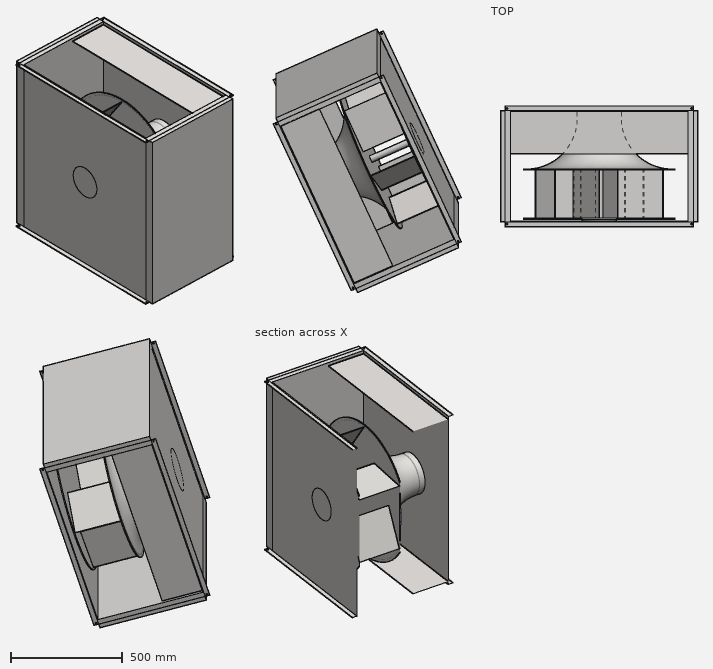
import cadquery as cq
import math

width = 880.0
height = 880.0
depth = 540.0
flange_reach = 22.0
flange_sheet = 3.5
skin = 20.0
side_frame = 24.0
panel_sheet = 3.5
seam_step = 1.0

body_half_depth = depth / 2 - flange_reach
core_width = width - 2 * skin
inner_width = core_width - 2 * side_frame

bolt_hole = 6.0
bolt_inset_x = 8.0
bolt_inset_y = 12.0

shelf_front = 55.0
shelf_drop = 15.0
shelf_sheet = 3.5

disc_radius = 339.0
disc_sheet = 5.0
shroud_front = -18.0
back_disc_front = -237.0
hub_radius = 77.0
shaft_radius = 16.0
throat_radius = 99.0
cone_curve = 227.0

blade_count = 6
blade_tip = (0.0, 328.0)
blade_root = (-115.0, 162.0)
blade_sheet = 3.5


def block(x_size, y_min, y_max, z_min, z_max, x_center=0.0):
    """Box given by its X size and center and its Y and Z limits."""
    size = (x_size, y_max - y_min, z_max - z_min)
    return cq.Workplane("XY").box(*size).translate(
        (x_center, (y_min + y_max) / 2, (z_min + z_max) / 2)
    )


def rod(radius, y_min, y_max):
    """Cylinder along the Y axis."""
    return cq.Workplane("XZ", origin=(0, y_min, 0)).circle(radius).extrude(y_min - y_max)


def make_casing():
    top = height / 2
    casing = block(core_width, -body_half_depth, body_half_depth, -top, top)
    for side in (-1, 1):
        skin_x = side * (width - skin) / 2
        skin_top = top - seam_step
        casing = casing.union(
            block(skin, -body_half_depth, body_half_depth, -skin_top, skin_top, skin_x)
        )
    inside = body_half_depth - panel_sheet
    return casing.cut(block(inner_width, -inside, inside, -top, top))


def make_flanges():
    top = height / 2
    hole_x = core_width - 2 * bolt_inset_x
    hole_y = depth - 2 * bolt_inset_y
    plate = (
        block(core_width, -depth / 2, depth / 2, top - flange_sheet, top)
        .faces(">Z")
        .workplane(origin=(0, 0, top))
        .rect(hole_x, hole_y, forConstruction=True)
        .vertices()
        .hole(bolt_hole)
    )
    opening = 2 * (body_half_depth - panel_sheet)
    plate = plate.cut(cq.Workplane("XY").box(inner_width, opening, 2 * height))
    return plate.union(plate.mirror("XY"))


def make_shelves():
    shelf_top = height / 2 - shelf_drop
    shelf = block(inner_width, shelf_front, body_half_depth, shelf_top - shelf_sheet, shelf_top)
    return shelf.union(shelf.mirror("XY"))


def make_inlet():
    """Shroud disc and trumpet-shaped inlet cone, closed by a flat face at the front."""
    shroud_back = shroud_front + disc_sheet
    cone_end = throat_radius + cone_curve
    curve_y = shroud_back + cone_curve
    bend = cone_curve * math.sqrt(0.5)
    return (
        cq.Workplane("XY")
        .moveTo(0, shroud_front)
        .lineTo(disc_radius, shroud_front)
        .lineTo(disc_radius, shroud_back)
        .lineTo(cone_end, shroud_back)
        .threePointArc((cone_end - bend, curve_y - bend), (throat_radius, curve_y))
        .lineTo(throat_radius, body_half_depth)
        .lineTo(0, body_half_depth)
        .close()
        .revolve(360, (0, 0, 0), (0, 1, 0))
    )


def make_blades():
    """Flat blades set obliquely between the back disc and the shroud."""
    y_min = back_disc_front
    y_max = shroud_front + disc_sheet / 2
    run_x = blade_root[0] - blade_tip[0]
    run_z = blade_root[1] - blade_tip[1]
    length = math.hypot(run_x, run_z)
    slope = math.degrees(math.atan2(run_z, run_x))
    middle = ((blade_tip[0] + blade_root[0]) / 2, (blade_tip[1] + blade_root[1]) / 2)
    blade = (
        cq.Workplane("XY")
        .box(length, y_max - y_min, blade_sheet)
        .rotate((0, 0, 0), (0, 1, 0), -slope)
        .translate((middle[0], (y_min + y_max) / 2, middle[1]))
    )
    blades = blade
    for i in range(1, blade_count):
        blades = blades.union(blade.rotate((0, 0, 0), (0, 1, 0), i * 360 / blade_count))
    return blades


back_disc = rod(disc_radius, back_disc_front, back_disc_front + disc_sheet)
hub = rod(hub_radius, -body_half_depth, back_disc_front)
shaft = rod(shaft_radius, back_disc_front, shroud_front)
wheel = back_disc.union(hub).union(shaft).union(make_blades()).union(make_inlet())

casing = make_casing().union(make_flanges()).union(make_shelves())
result = casing.union(wheel)